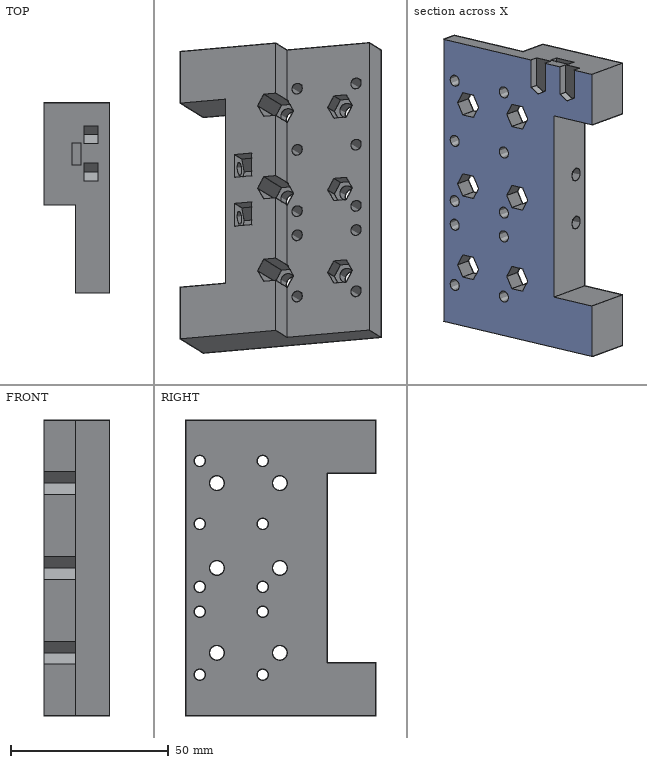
import cadquery as cq
import math

thickness = 21.0
width = 60.5
height = 94.0
plate_thickness = 10.9
plate_face_x = thickness - plate_thickness
block_start_y = 28.0

notch_depth = 15.4
notch_height = 60.2
notch_floor_y = width - notch_depth

grid_pitch = 20.0
bolt_first_y = 10.0
bolt_pitch_z = 27.0
bolt_diameter = 4.6
bolt_nut_flats = 7.2
bolt_nut_floor = 5.0

mount_diameter = 3.5
mount_first_y = 4.5
lower_group_z = 13.1
lower_group_rows = 2
upper_group_z = 41.0
upper_group_rows = 3

side_trap_y = 39.1
side_trap_spacing = 16.0
side_trap_thickness = 5.8
side_trap_flats = 7.4
side_trap_depth = 4.4
side_screw_diameter = 4.0

top_trap_x = 15.0
top_trap_y = 44.5
top_trap_spacing = 11.8
top_trap_thickness = 4.5
top_trap_flats = 5.6
top_trap_depth = 7.5

slit_start_x = 8.9
slit_thickness = 2.9
slit_length = 7.05
slit_y = 44.3
slit_depth = 7.5
slit_crown_x = 10.7
slit_floor_radius = 4.7


def box(x0, y0, z0, dx, dy, dz):
    """Box from its lower corner and its three sizes."""
    return cq.Workplane("XY").box(dx, dy, dz, centered=False).translate((x0, y0, z0))


def x_hole(y, z, diameter):
    """Round cutter along X through the full thickness."""
    return cq.Workplane("YZ").center(y, z).circle(diameter / 2).extrude(thickness)


def nut_trap(flats, axis_depth, trap_thickness):
    """Slot cutter opening at Z = 0 and running down to half a hexagon, point first.

    The nut axis lies along X, at Z = -axis_depth, and the slot is centred on X and Y.
    """
    half = flats / 2
    corner_radius = flats / math.sqrt(3)
    outline = [
        (-half, 0),
        (half, 0),
        (half, -axis_depth - corner_radius / 2),
        (0, -axis_depth - corner_radius),
        (-half, -axis_depth - corner_radius / 2),
    ]
    return cq.Workplane("YZ").polyline(outline).close().extrude(trap_thickness / 2, both=True)


def make_body():
    plate = box(plate_face_x, 0, 0, plate_thickness, width, height)
    block = box(0, block_start_y, 0, thickness, width - block_start_y, height)
    notch_z = (height - notch_height) / 2
    notch = box(0, notch_floor_y, notch_z, thickness, notch_depth, notch_height)
    return plate.union(block).cut(notch)


def cut_bolt_holes(body):
    hex_corners = bolt_nut_flats * 2 / math.sqrt(3)
    recess_depth = thickness - bolt_nut_floor
    for y in (bolt_first_y, bolt_first_y + grid_pitch):
        for row in (-1, 0, 1):
            z = height / 2 + row * bolt_pitch_z
            recess = cq.Workplane("YZ").center(y, z).polygon(6, hex_corners).extrude(recess_depth)
            body = body.cut(recess).cut(x_hole(y, z, bolt_diameter))
    return body


def cut_mount_holes(body):
    for start_z, rows in ((lower_group_z, lower_group_rows), (upper_group_z, upper_group_rows)):
        for row in range(rows):
            z = start_z + row * grid_pitch
            for y in (mount_first_y, mount_first_y + grid_pitch):
                body = body.cut(x_hole(y, z, mount_diameter))
    return body


def cut_side_traps(body):
    trap = nut_trap(side_trap_flats, side_trap_depth, side_trap_thickness)
    trap = trap.rotate((0, 0, 0), (0, 0, 1), 90).rotate((0, 0, 0), (0, 1, 0), -90)
    for side in (-1, 1):
        z = height / 2 + side * side_trap_spacing / 2
        screw = cq.Solid.makeCylinder(
            side_screw_diameter / 2,
            notch_floor_y - side_trap_y,
            cq.Vector(side_trap_depth, side_trap_y, z),
            cq.Vector(0, 1, 0),
        )
        body = body.cut(trap.translate((0, side_trap_y, z))).cut(cq.Workplane(screw))
    return body


def cut_top_traps(body):
    trap = nut_trap(top_trap_flats, top_trap_depth, top_trap_thickness)
    for side in (-1, 1):
        y = top_trap_y + side * top_trap_spacing / 2
        body = body.cut(trap.translate((top_trap_x, y, height)))
    return body


def cut_slit(body):
    start_y = slit_y - slit_length / 2
    crown_z = height - slit_depth
    cut_depth = slit_depth + slit_floor_radius
    slit = box(slit_start_x, start_y, height - cut_depth, slit_thickness, slit_length, cut_depth)
    arch = cq.Solid.makeCylinder(
        slit_floor_radius,
        slit_length,
        cq.Vector(slit_crown_x, start_y, crown_z - slit_floor_radius),
        cq.Vector(0, 1, 0),
    )
    return body.cut(slit.cut(cq.Workplane(arch)))


result = make_body()
result = cut_bolt_holes(result)
result = cut_mount_holes(result)
result = cut_side_traps(result)
result = cut_top_traps(result)
result = cut_slit(result).solids()